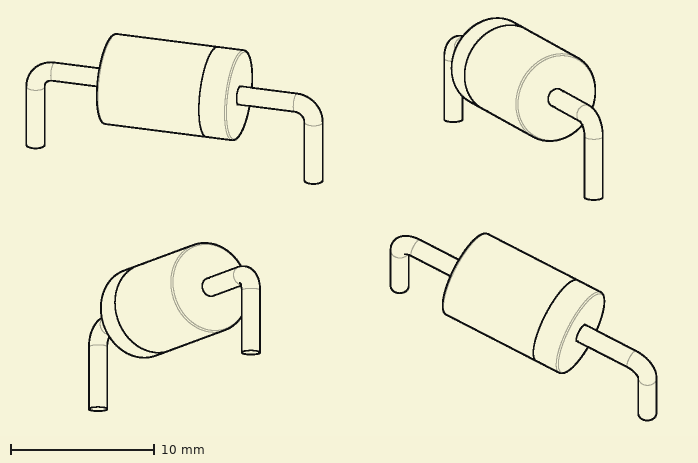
import cadquery as cq

overall_length = 21.62
body_diameter = 6.35
body_length = 9.47
band_length = 1.97
edge_round = 0.1
overall_height = 8.95

lead_diameter = 1.3
bend_radius = lead_diameter

leg_x = (overall_length - lead_diameter) / 2
leg_bottom = body_diameter / 2 - overall_height
body_start = -body_length / 2
body_end = body_length / 2
band_start = body_end - band_length


def make_lead():
    """One round wire through the body, bent down at both ends."""
    bend_start = leg_x - bend_radius
    path = (
        cq.Workplane("XZ")
        .moveTo(-leg_x, leg_bottom)
        .lineTo(-leg_x, -bend_radius)
        .radiusArc((-bend_start, 0), bend_radius)
        .lineTo(bend_start, 0)
        .radiusArc((leg_x, -bend_radius), bend_radius)
        .lineTo(leg_x, leg_bottom)
    )
    return (
        cq.Workplane("XY", origin=(-leg_x, 0, leg_bottom))
        .circle(lead_diameter / 2)
        .sweep(path)
    )


def make_sleeve(start, length, rounded_face):
    """A cylinder bored for the lead, with its outer edge rounded on one end face."""
    cylinder = (
        cq.Workplane("YZ", origin=(start, 0, 0))
        .circle(body_diameter / 2)
        .extrude(length)
        .faces(rounded_face)
        .edges()
        .fillet(edge_round)
    )
    bore = (
        cq.Workplane("YZ", origin=(start, 0, 0))
        .circle(lead_diameter / 2)
        .extrude(length)
    )
    return cylinder.cut(bore)


lead = make_lead()
housing = make_sleeve(body_start, body_length - band_length, "<X")
polarity_band = make_sleeve(band_start, band_length, ">X")

result = cq.Compound.makeCompound([housing.val(), polarity_band.val(), lead.val()])